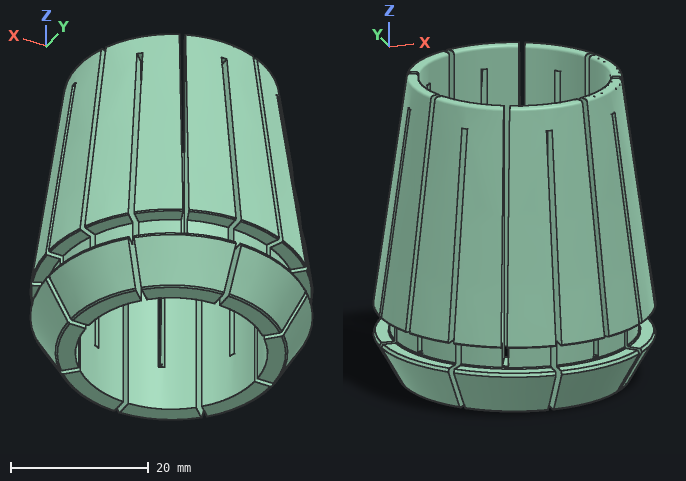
import cadquery as cq
import math

length = 46.0
outer_diameter = 41.0
outer_radius = outer_diameter / 2
bore_radius = 13.95
cone_half_angle = 8.0

nose_radius = 16.75
flange_edge_height = 6.6
flange_top = 7.1
flange_bevel = 0.28

groove_radius = 18.12
groove_top = 10.95

rim_round = 0.5
edge_break = 0.2

slot_width = 0.87
slots_per_end = 8
nose_slot_end = 42.5
rim_slot_end = 7.5


def collet_body():
    """Revolved tapered sleeve with flange, groove and rounded rim."""
    cone_base = groove_top + edge_break
    rim_radius = outer_radius - (length - cone_base) * math.tan(math.radians(cone_half_angle))
    nose_slope = (outer_radius - nose_radius) / flange_edge_height
    profile = [
        (bore_radius, 0),
        (nose_radius - edge_break, 0),
        (nose_radius + nose_slope * edge_break, edge_break),
        (outer_radius, flange_edge_height),
        (outer_radius - flange_bevel, flange_top),
        (groove_radius + edge_break, flange_top),
        (groove_radius, flange_top + edge_break),
        (groove_radius, groove_top),
        (outer_radius - edge_break, groove_top),
        (outer_radius, cone_base),
        (rim_radius, length),
        (bore_radius, length),
    ]
    body = cq.Workplane("XZ").polyline(profile).close().revolve(360, (0, 0), (0, 1))
    return body.faces(">Z").edges().fillet(rim_round)


def cut_slots(body, start_angle, bottom, top):
    """Cut evenly spaced radial slots through the wall between two heights."""
    slot = cq.Workplane("XY").box(
        outer_radius + slot_width, slot_width, top - bottom, centered=(False, True, False)
    ).translate((0, 0, bottom))
    pitch = 360 / slots_per_end
    for index in range(slots_per_end):
        body = body.cut(slot.rotate((0, 0, 0), (0, 0, 1), start_angle + index * pitch))
    return body


half_pitch = 180 / slots_per_end
result = collet_body()
result = cut_slots(result, 0, 0, nose_slot_end)
result = cut_slots(result, half_pitch, rim_slot_end, length)